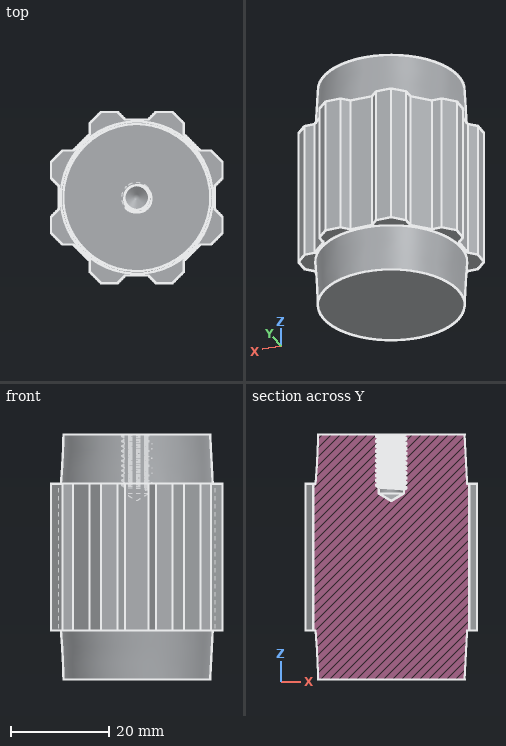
import cadquery as cq
import math

total_height = 50.0
grip_height = 30.0
grip_across_flats = 35.0

side_count = 8
notch_depth = 1.55
notch_mouth_half_width = 3.92

end_face_radius = 15.0
end_draft_angle = 3.0

bore_diameter = 5.04
thread_diameter = 6.15
thread_pitch = 1.0
thread_opening = 0.9
thread_root_width = 0.125
thread_cut_overlap = 0.1
bore_depth = 12.0
drill_point_angle = 118.0
thread_start_angle = -45.0

half_height = total_height / 2
half_grip_height = grip_height / 2
apothem = grip_across_flats / 2
end_length = half_height - half_grip_height
end_root_radius = end_face_radius + end_length * math.tan(math.radians(end_draft_angle))
bore_radius = bore_diameter / 2


def make_grip():
    """Octagonal prism with a 45-degree walled notch along each flat."""
    floor_half_width = notch_mouth_half_width - notch_depth
    floor_distance = apothem - notch_depth
    corner_half_width = apothem * math.tan(math.pi / side_count)
    flat_points = [
        (notch_mouth_half_width, apothem),
        (floor_half_width, floor_distance),
        (-floor_half_width, floor_distance),
        (-notch_mouth_half_width, apothem),
        (-corner_half_width, apothem),
    ]
    outline = []
    for side in range(side_count):
        angle = 2 * math.pi * side / side_count
        for x, y in flat_points:
            turned_x = x * math.cos(angle) - y * math.sin(angle)
            turned_y = x * math.sin(angle) + y * math.cos(angle)
            outline.append((turned_x, turned_y))
    return (
        cq.Workplane("XY", origin=(0, 0, -half_grip_height))
        .polyline(outline)
        .close()
        .extrude(grip_height)
    )


def make_core():
    """Round core whose two ends taper inward towards the end faces."""
    return (
        cq.Workplane("XZ")
        .moveTo(0, -half_height)
        .lineTo(end_face_radius, -half_height)
        .lineTo(end_root_radius, -half_grip_height)
        .lineTo(end_root_radius, half_grip_height)
        .lineTo(end_face_radius, half_height)
        .lineTo(0, half_height)
        .close()
        .revolve(360, (0, 0, 0), (0, 1, 0))
    )


def make_bore():
    """Blind tapping hole with a conical drill point."""
    bore_floor = half_height - bore_depth
    point_height = bore_radius / math.tan(math.radians(drill_point_angle / 2))
    return (
        cq.Workplane("XZ")
        .moveTo(0, half_height)
        .lineTo(bore_radius, half_height)
        .lineTo(bore_radius, bore_floor)
        .lineTo(0, bore_floor - point_height)
        .close()
        .revolve(360, (0, 0, 0), (0, 1, 0))
    )


def make_thread_groove():
    """Right-hand V groove that winds up the bore and runs out through the end face."""
    half_opening = thread_opening / 2
    root_half_width = thread_root_width / 2
    inner_radius = bore_radius - thread_cut_overlap
    outer_radius = thread_diameter / 2
    groove_bottom = half_height - bore_depth + thread_pitch
    helix = cq.Wire.makeHelix(thread_pitch, bore_depth, bore_radius)
    groove = (
        cq.Workplane("XZ")
        .moveTo(inner_radius, -half_opening)
        .lineTo(outer_radius, -root_half_width)
        .lineTo(outer_radius, root_half_width)
        .lineTo(inner_radius, half_opening)
        .close()
        .sweep(cq.Workplane(obj=helix), isFrenet=True)
    )
    return groove.rotate((0, 0, 0), (0, 0, 1), thread_start_angle).translate((0, 0, groove_bottom))


result = make_grip().union(make_core()).cut(make_thread_groove()).cut(make_bore())